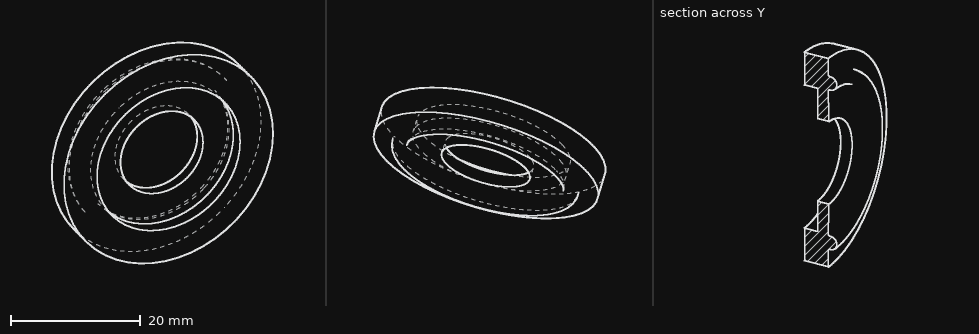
import cadquery as cq

disc_radius = 18.0
disc_thickness = 4.3
bore_radius = 7.1

web_rise = 0.1
rear_recess_depth = 2.35

overall_thickness = 5.8
bead_center_radius = 13.75
bead_half_width = 1.2
foot_fillet = 0.25

face_x = -disc_thickness
crest_x = -overall_thickness
bead_center_x = crest_x + bead_half_width
foot_top_x = face_x - foot_fillet
bead_inner_radius = bead_center_radius - bead_half_width
bead_outer_radius = bead_center_radius + bead_half_width
web_outer_radius = bead_inner_radius - foot_fillet
fillet_mid = foot_fillet * (1 - 0.5**0.5)

section = (
    cq.Workplane("XY")
    .moveTo(0, web_outer_radius)
    .lineTo(-rear_recess_depth, web_outer_radius)
    .lineTo(-rear_recess_depth, bore_radius)
    .lineTo(face_x - web_rise, bore_radius)
    .lineTo(face_x, web_outer_radius)
    .threePointArc(
        (face_x - fillet_mid, bead_inner_radius - fillet_mid),
        (foot_top_x, bead_inner_radius),
    )
    .lineTo(bead_center_x, bead_inner_radius)
    .threePointArc((crest_x, bead_center_radius), (bead_center_x, bead_outer_radius))
    .lineTo(foot_top_x, bead_outer_radius)
    .threePointArc(
        (face_x - fillet_mid, bead_outer_radius + fillet_mid),
        (face_x, bead_outer_radius + foot_fillet),
    )
    .lineTo(face_x, disc_radius)
    .lineTo(0, disc_radius)
    .close()
)

result = section.revolve(360, (0, 0, 0), (1, 0, 0))